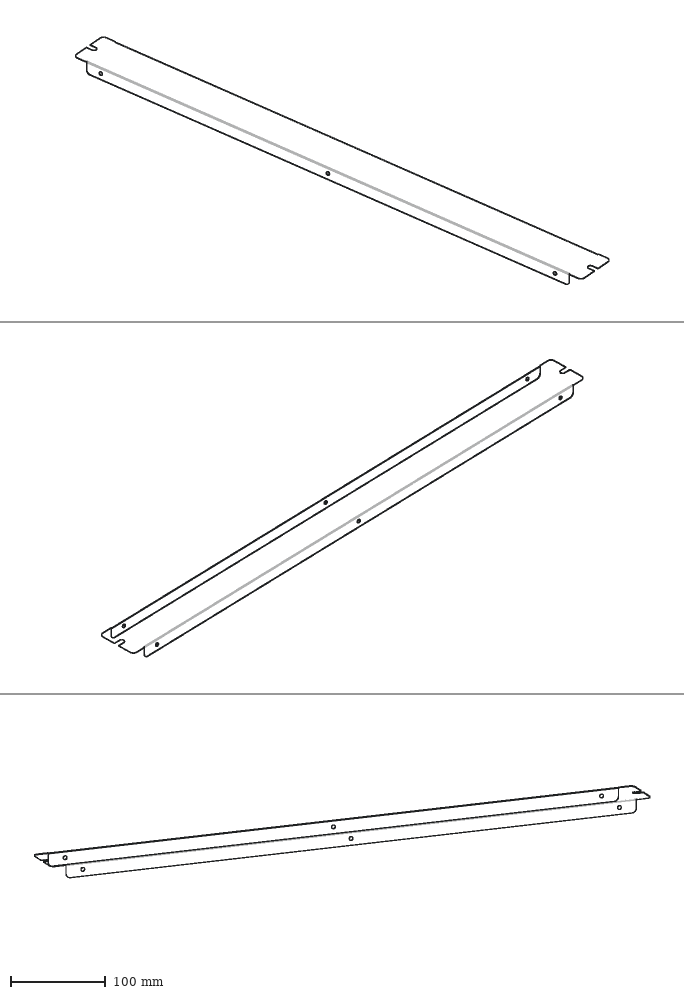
import cadquery as cq

length = 686.5
width = 49.5
height = 15.0
sheet = 1.0

flange_inset = 17.0
flange_length = length - 2 * flange_inset
flange_corner_radius = 5.0
bend_outer_radius = 1.25
bend_inner_radius = bend_outer_radius - sheet

tab_corner_radius = 5.0
slot_width = 6.0
slot_depth = 11.0

hole_diameter = 4.2
hole_spacing = 307.0
hole_height = height / 2


def make_channel():
    """U-shaped sheet, open downwards, with rounded bends."""
    outer = (
        cq.Workplane("XY")
        .box(flange_length, width, height, centered=(True, True, False))
        .edges("|X and >Z")
        .fillet(bend_outer_radius)
    )
    inner = (
        cq.Workplane("XY")
        .box(flange_length, width - 2 * sheet, height - sheet, centered=(True, True, False))
        .edges("|X and >Z")
        .fillet(bend_inner_radius)
    )
    return outer.cut(inner).edges("|Y and <Z").fillet(flange_corner_radius)


def make_end_tab(side):
    """Flat end of the top plate with rounded outer corners; side is -1 or 1."""
    return (
        cq.Workplane("XY")
        .workplane(offset=height - sheet)
        .center(side * (length - flange_inset) / 2, 0)
        .rect(flange_inset, width)
        .extrude(sheet)
        .edges("|Z and " + (">X" if side > 0 else "<X"))
        .fillet(tab_corner_radius)
    )


def make_end_slots():
    """Cutters for the round-ended slots open at both ends of the plate."""
    return (
        cq.Workplane("XY")
        .workplane(offset=height - sheet)
        .pushPoints([(-length / 2, 0), (length / 2, 0)])
        .slot2D(2 * slot_depth, slot_width)
        .extrude(sheet)
    )


def make_flange_holes():
    """Cutters for the holes passing through both flanges."""
    return (
        cq.Workplane("XZ")
        .pushPoints([(i * hole_spacing, hole_height) for i in (-1, 0, 1)])
        .circle(hole_diameter / 2)
        .extrude(width / 2, both=True)
    )


body = make_channel()
for end in (-1, 1):
    body = body.union(make_end_tab(end))
result = body.cut(make_end_slots()).cut(make_flange_holes())